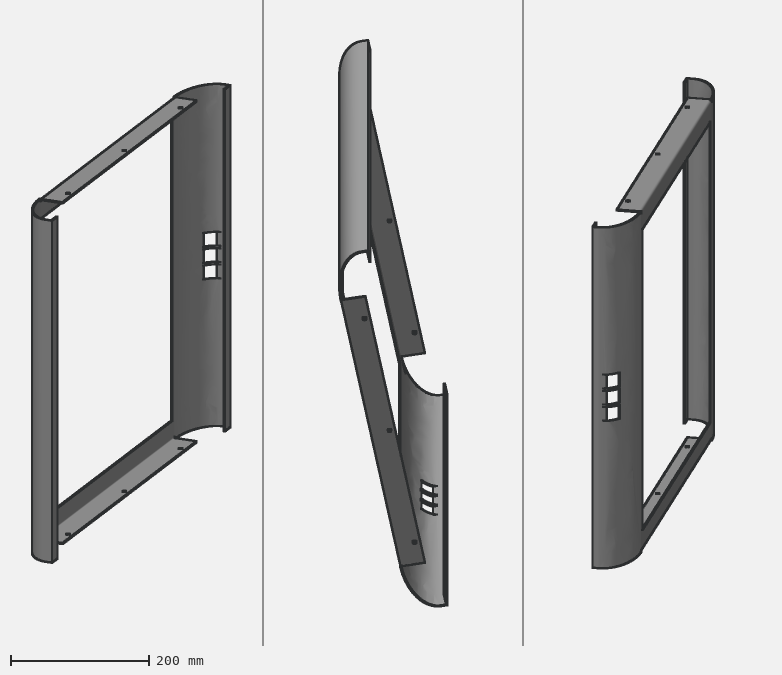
import cadquery as cq

depth = 55.0
length = 640.5
height = 525.0
sheet = 2.0
overlap = 0.5

panel_length = 480.0
window_length = 463.5
window_height = 463.5

flange_depth = 36.5
bend_radius = 4.0
hole_x = 28.0
hole_spacing = 202.0
outer_hole_diameter = 5.4
middle_hole_diameter = 5.0

curve_depth = 45.5
curve_span = (length - panel_length) / 2
lip_length = 20.5

slot_count = 3
slot_height = 21.0
slot_pitch = 25.0
slot_outer_y = 317.5
slot_inner_y = 303.5


def make_panel():
    """Channel section: flat panel with a rounded fold to each flange."""
    channel = (
        cq.Workplane("XY")
        .box(flange_depth, panel_length, height, centered=(False, True, True))
        .edges("<X and |Y")
        .fillet(bend_radius)
    )
    hollow = (
        cq.Workplane("XY")
        .box(flange_depth, panel_length, height - 2 * sheet, centered=(False, True, True))
        .edges("<X and |Y")
        .fillet(bend_radius - sheet)
        .translate((sheet, 0, 0))
    )
    window = cq.Workplane("XY").box(2 * bend_radius, window_length, window_height)
    return channel.cut(hollow).cut(window)


def make_wing():
    """Wing on the +Y side, running the full height."""
    root_y = panel_length / 2
    tip_y = length / 2
    inner_depth = curve_depth - sheet
    inner_span = curve_span - sheet
    profile = (
        cq.Workplane("XY")
        .moveTo(0, root_y - overlap)
        .lineTo(0, root_y)
        .ellipseArc(curve_depth, curve_span, 90, 180, startAtCurrent=True, sense=-1)
        .lineTo(depth, tip_y)
        .lineTo(depth, tip_y - lip_length)
        .lineTo(depth - sheet, tip_y - lip_length)
        .lineTo(depth - sheet, tip_y - sheet)
        .lineTo(curve_depth, tip_y - sheet)
        .ellipseArc(inner_depth, inner_span, 90, 180, startAtCurrent=True, sense=1)
        .lineTo(sheet, root_y - overlap)
        .close()
    )
    return profile.extrude(height).translate((0, 0, -height / 2))


def flange_hole(y, diameter):
    """Cutter for a pair of aligned screw holes through both flanges."""
    return (
        cq.Workplane("XY", origin=(hole_x, y, -height / 2))
        .circle(diameter / 2)
        .extrude(height)
    )


def wing_slot(z):
    """Cutter for one slot through the curved wall, stopping short of the lip."""
    return cq.Workplane("XY").box(
        depth - sheet, slot_outer_y - slot_inner_y, slot_height, centered=(False, False, True)
    ).translate((0, slot_inner_y, z))


wing = make_wing()
result = make_panel().union(wing).union(wing.mirror("XZ"))

result = result.cut(flange_hole(0, middle_hole_diameter))
for side in (-1, 1):
    result = result.cut(flange_hole(side * hole_spacing, outer_hole_diameter))

for index in range(slot_count):
    result = result.cut(wing_slot((index - (slot_count - 1) / 2) * slot_pitch))